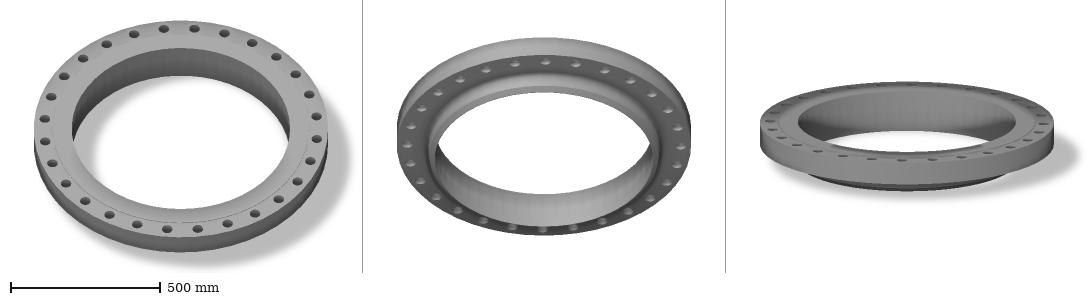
import cadquery as cq
import math

outer_diameter = 984.0
bore_diameter = 730.0
total_height = 137.0

face_diameter = 856.0
face_height = 2.0

flange_thickness = 75.0
neck_top_radius = 388.0
neck_lower_radius = 383.0
neck_fillet = 12.0
bevel_height = 15.0
neck_end_radius = 367.0

bolt_count = 28
bolt_circle_diameter = 914.0
bolt_hole_diameter = 35.0

flange_top = total_height - face_height
flange_bottom = flange_top - flange_thickness
fillet_bottom = flange_bottom - neck_fillet

fillet_outer_radius = neck_top_radius + neck_fillet
fillet_mid_offset = neck_fillet * (1 - math.sqrt(0.5))
fillet_midpoint = (neck_top_radius + fillet_mid_offset, flange_bottom - fillet_mid_offset)


def revolved_body():
    """Flange, raised face and neck as one ring around Z."""
    bore_radius = bore_diameter / 2
    outer_radius = outer_diameter / 2
    face_radius = face_diameter / 2
    profile = (
        cq.Workplane("XZ")
        .moveTo(bore_radius, 0)
        .lineTo(neck_end_radius, 0)
        .lineTo(neck_lower_radius, bevel_height)
        .lineTo(neck_top_radius, fillet_bottom)
        .threePointArc(fillet_midpoint, (fillet_outer_radius, flange_bottom))
        .lineTo(outer_radius, flange_bottom)
        .lineTo(outer_radius, flange_top)
        .lineTo(face_radius, flange_top)
        .lineTo(face_radius, total_height)
        .lineTo(bore_radius, total_height)
        .close()
    )
    return profile.revolve(360, (0, 0, 0), (0, 1, 0))


def bolt_holes():
    """Cylinders through the flange, the first one on +X."""
    return (
        cq.Workplane("XY")
        .polarArray(bolt_circle_diameter / 2, 0, 360, bolt_count)
        .circle(bolt_hole_diameter / 2)
        .extrude(total_height)
    )


result = revolved_body().cut(bolt_holes())